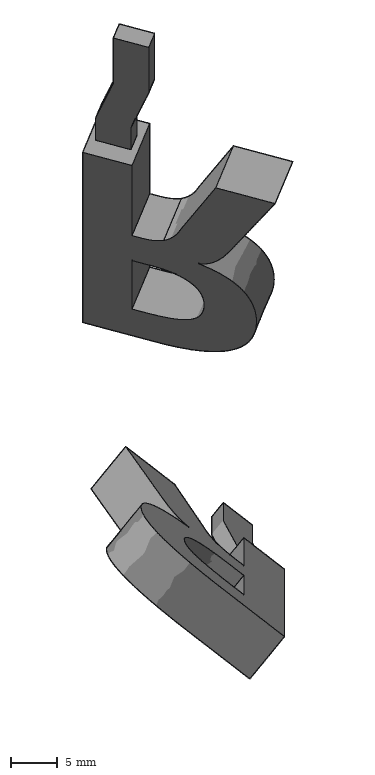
import cadquery as cq

total_height = 49.0
letter_height = 30.1
letter_width = 21.75
letter_depth = 6.0

stem_width = 5.6
crotch_height = 17.7
crotch_flat_end = 6.65
crotch_middle = (9.15, 18.3)
arm_top_left = 15.05
arm_inner_bend = (11.05, 21.05)
arm_outer_bend = (16.65, 19.6)
notch = (13.1, 15.85)
bowl_side = (19.65, 8.35)
bowl_flat_end = 8.55

crotch_pull = 8.15
arm_inner_pull = (10.45, 19.2)
arm_outer_pull = (15.65, 17.45)
notch_arm_pull = (14.5, 16.15)
notch_bowl_pull = (17.65, 15.0)
bowl_upper_pull = 12.25
bowl_lower_pull = 2.45
bowl_floor_pull = 15.2

window_top = 13.3
window_bottom = 4.7
window_side = (13.7, 8.8)
window_top_flat_end = 7.6
window_bottom_flat_end = 7.1
window_top_pull = 11.6
window_bottom_pull = 11.5
window_upper_pull = 11.75
window_lower_pull = 5.65

pin_width = 4.0
pin_thickness = 2.0
pin_left = 0.8
pin_jog = 2.0
jog_bottom = 33.95
jog_top = 40.9


def make_letter():
    """Letter plate, centred on Y = 0, with its curves as Bezier stretches."""
    bowl_x, _ = bowl_side
    outline = (
        cq.Workplane("XZ", origin=(0, letter_depth / 2, 0))
        .moveTo(0, 0)
        .lineTo(0, letter_height)
        .lineTo(stem_width, letter_height)
        .lineTo(stem_width, crotch_height)
        .lineTo(crotch_flat_end, crotch_height)
        .bezier([(crotch_flat_end, crotch_height), (crotch_pull, crotch_height), crotch_middle])
        .bezier([crotch_middle, arm_inner_pull, arm_inner_bend])
        .lineTo(arm_top_left, letter_height)
        .lineTo(letter_width, letter_height)
        .lineTo(*arm_outer_bend)
        .bezier([arm_outer_bend, arm_outer_pull, notch_arm_pull, notch])
        .bezier([notch, notch_bowl_pull, (bowl_x, bowl_upper_pull), bowl_side])
        .bezier([bowl_side, (bowl_x, bowl_lower_pull), (bowl_floor_pull, 0), (bowl_flat_end, 0)])
        .close()
    )
    plate = outline.extrude(letter_depth)
    return plate.cut(make_window())


def make_window():
    """D-shaped cutter that opens the bowl through its whole depth."""
    side_x, _ = window_side
    top_start = (window_top_flat_end, window_top)
    bottom_end = (window_bottom_flat_end, window_bottom)
    return (
        cq.Workplane("XZ", origin=(0, letter_depth / 2, 0))
        .moveTo(stem_width, window_bottom)
        .lineTo(stem_width, window_top)
        .lineTo(*top_start)
        .bezier([top_start, (window_top_pull, window_top), (side_x, window_upper_pull), window_side])
        .bezier([window_side, (side_x, window_lower_pull), (window_bottom_pull, window_bottom), bottom_end])
        .close()
        .extrude(letter_depth)
    )


def make_pin():
    """Jogged bar whose foot rests on the top face of the stem."""
    pin_right = pin_left + pin_width
    return (
        cq.Workplane("XZ", origin=(0, pin_thickness / 2, 0))
        .moveTo(pin_left, letter_height)
        .lineTo(pin_left, jog_bottom)
        .lineTo(pin_left + pin_jog, jog_top)
        .lineTo(pin_left + pin_jog, total_height)
        .lineTo(pin_right + pin_jog, total_height)
        .lineTo(pin_right + pin_jog, jog_top)
        .lineTo(pin_right, jog_bottom)
        .lineTo(pin_right, letter_height)
        .close()
        .extrude(pin_thickness)
    )


letter = make_letter()
pin = make_pin()
result = cq.Compound.makeCompound([letter.val(), pin.val()])